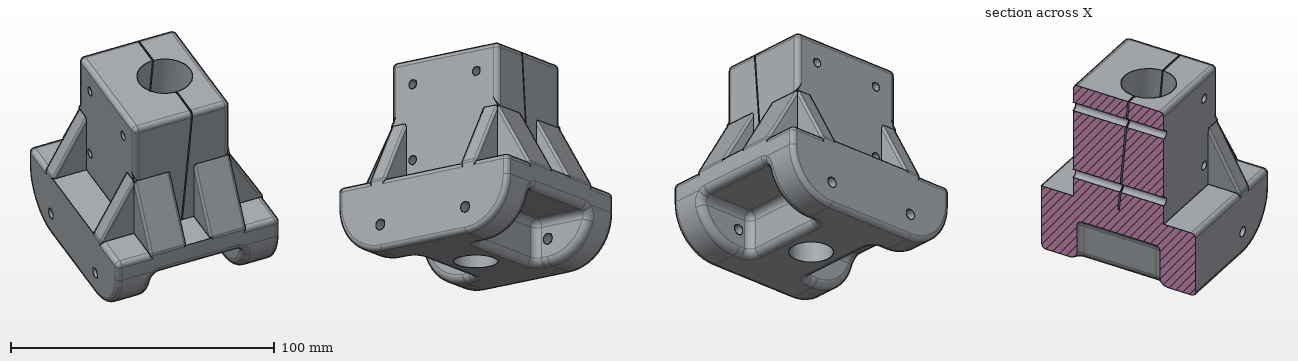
import cadquery as cq

base_length = 80.0
base_width = 68.0
base_height = 28.0
base_corner_radius = 20.0

tower_length = 50.0
tower_width = 40.0
total_height = 78.0

rib_rise = 25.0
front_rib_thickness = 7.0
side_rib_thickness = 15.0
rib_edge_radius = 1.0

edge_radius = 2.0

tilt_angle = 5.0
bore_diameter = 21.0
slit_width = 0.5
lower_hole_diameter = 17.0

tower_hole_diameter = 3.5
tower_hole_margin = 10.0
base_hole_diameter = 4.2
base_hole_spacing = 40.0
base_hole_height = 10.0

pocket_width = 38.0
pocket_height = 18.0
pocket_wall_spacing = 28.0
pocket_edge_radius = 3.0

cut_margin = 8.0


def centered_range(size):
    """(low, high) range of the given size around zero."""
    return (-size / 2, size / 2)


def box_between(x_range, y_range, z_range):
    """Axis-aligned box spanning the three (low, high) ranges."""
    size = [high - low for low, high in (x_range, y_range, z_range)]
    corner = (x_range[0], y_range[0], z_range[0])
    return cq.Workplane("XY").box(*size, centered=False).translate(corner)


def make_pocket():
    """Space of the pocket at the +X end, with rounded inner corners."""
    depth_range = (pocket_wall_spacing / 2, base_length / 2 + cut_margin)
    pocket = box_between(depth_range, centered_range(pocket_width), (-cut_margin, pocket_height))
    return pocket.edges("(<X and |Z) or (>Z and |X) or (<X and >Z)").fillet(pocket_edge_radius)


def make_base():
    """Base block with round lower ends, end pockets and a central hole."""
    base = cq.Workplane("XY").box(base_length, base_width, base_height, centered=(True, True, False))
    base = base.edges("<Z and |Y").fillet(base_corner_radius)

    pocket = make_pocket()
    base = base.cut(pocket).cut(pocket.mirror("YZ"))
    for x in centered_range(base_length):
        rim_point = (x, 0, pocket_height)
        base = base.edges(cq.NearestToPointSelector(rim_point)).fillet(pocket_edge_radius)

    base = base.faces("<Y or >Y or >Z").edges().fillet(edge_radius)
    base = base.faces(">Z").workplane(origin=(0, 0, 0)).hole(lower_hole_diameter)
    return base.faces(">Z").edges("%CIRCLE").fillet(edge_radius)


def make_edge_fillers():
    """Strips that keep the base's top edge sharp between the ribs, except on the +Y side."""
    z_range = (base_height - edge_radius, base_height)
    half_x = base_length / 2
    half_y = base_width / 2
    side_range = centered_range(tower_width - 2 * (side_rib_thickness - rib_edge_radius))
    front_range = centered_range(tower_length - 2 * (front_rib_thickness - rib_edge_radius))
    left = box_between((-half_x, edge_radius - half_x), side_range, z_range)
    right = left.mirror("YZ")
    front = box_between(front_range, (-half_y, edge_radius - half_y), z_range)
    return left.union(right).union(front)


def make_clamp_cut():
    """Tilted bore and the slit through its axis, both ending at the top of the base."""
    reach = 2 * total_height
    bore = cq.Workplane("XY").circle(bore_diameter / 2).extrude(reach / 2, both=True)
    slit = cq.Workplane("XY").box(base_length, slit_width, reach)
    cut = bore.union(slit).rotate((0, 0, 0), (1, 0, 0), -tilt_angle).translate((0, 0, base_height))
    z_range = (base_height, total_height + cut_margin)
    return cut.intersect(box_between(centered_range(base_length), centered_range(base_width), z_range))


def make_tower():
    """Tower with softened outer edges, split by the bore and the slit."""
    z_range = (base_height, total_height)
    tower = box_between(centered_range(tower_length), centered_range(tower_width), z_range)
    return tower.edges("|Z or >Z").fillet(edge_radius).cut(make_clamp_cut())


def make_slope_prism(start, end, start_height, end_height, thickness):
    """Sharp prism along X whose top slopes between two heights above the base.

    Its foot reaches down past the rounded top edge of the base.
    """
    foot = base_height - edge_radius
    outline = [
        (start, foot),
        (end, foot),
        (end, base_height + end_height),
        (start, base_height + start_height),
    ]
    return cq.Workplane("XZ").polyline(outline).close().extrude(thickness / 2, both=True)


def make_rib(root, tip, thickness):
    """Rounded rib sloping from the tower face at x=root to the base edge at x=tip."""
    rib = make_slope_prism(root, tip, rib_rise, 0, thickness)
    rib = rib.edges(cq.NearestToPointSelector((tip, 0, base_height))).fillet(edge_radius)
    return rib.faces("<Y or >Y").edges(">X").fillet(rib_edge_radius)


def make_side_rib():
    """Rib on the +X side; its slope carries on inward to fill the tower's rounded corner."""
    root = tower_length / 2
    tip = base_length / 2
    extra_rise = edge_radius * rib_rise / (tip - root)
    corner_fill = make_slope_prism(
        root - edge_radius, root, rib_rise + extra_rise, rib_rise, side_rib_thickness
    )
    return make_rib(root, tip, side_rib_thickness).union(corner_fill)


def make_ribs():
    """Two ribs on every side of the tower, flush with its corners."""
    side_rib = make_side_rib()
    front_rib = make_rib(tower_width / 2, base_width / 2, front_rib_thickness)
    ribs = cq.Workplane("XY")
    for angle in (0, 180):
        for y in centered_range(tower_width - side_rib_thickness):
            ribs = ribs.add(side_rib.translate((0, y, 0)).rotate((0, 0, 0), (0, 0, 1), angle))
        for x in centered_range(tower_length - front_rib_thickness):
            ribs = ribs.add(front_rib.translate((0, x, 0)).rotate((0, 0, 0), (0, 0, 1), angle + 90))
    return ribs.combine()


def make_cross_hole(x, z, diameter):
    """Round hole along Y through the whole part."""
    return cq.Workplane("XZ").center(x, z).circle(diameter / 2).extrude(base_width, both=True)


result = make_base().union(make_edge_fillers()).union(make_tower()).union(make_ribs())

for x in centered_range(tower_length - 2 * tower_hole_margin):
    for z in (base_height + tower_hole_margin, total_height - tower_hole_margin):
        result = result.cut(make_cross_hole(x, z, tower_hole_diameter))

for x in centered_range(base_hole_spacing):
    result = result.cut(make_cross_hole(x, base_hole_height, base_hole_diameter))